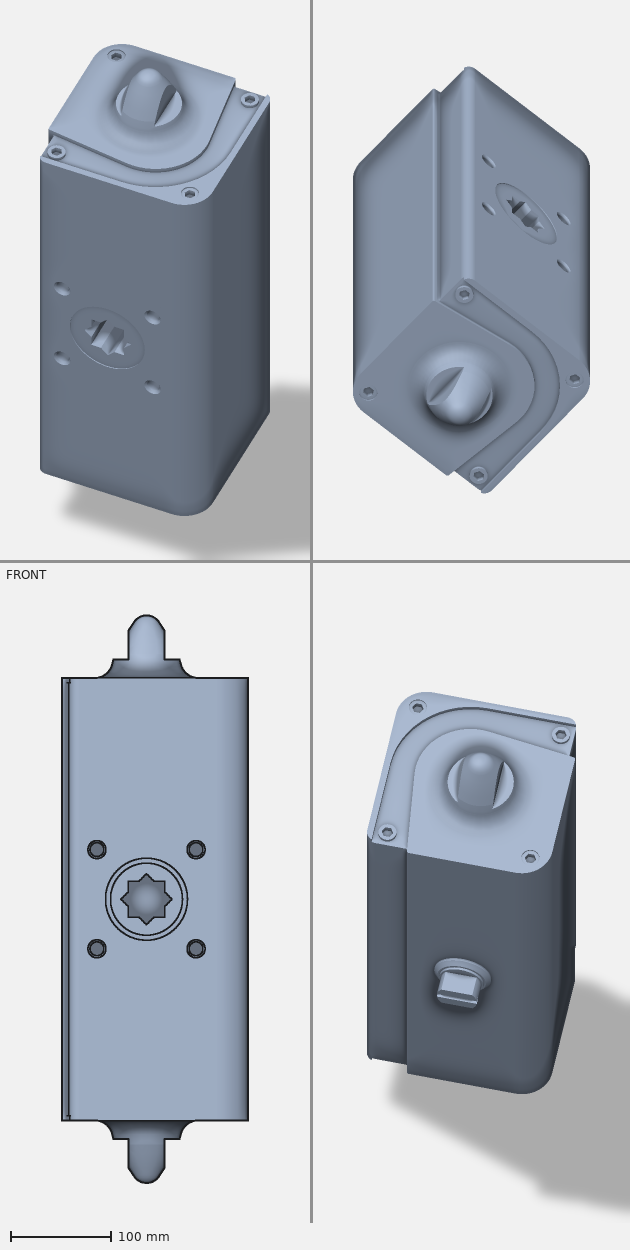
import cadquery as cq
import math

body_length = 442
half_length = body_length / 2
near_side = 84.5
far_side = 101.5
step_side = 77.5
large_corner = 31
small_corner = 10
step_round = 2
pick_margin = 0.2

wall_offset = 58.4
wall_angle = 7.2
pad_round = 56
rim_offset = 95
rim_round = 82
channel_depth = 5

cone_base_radius = 51.5
cone_fillet = 17.5
cone_fillet_height = 13.4
cone_start_height = 24
cone_half_angle = 30
flank_bulge = 0.6
tip_radius = 15
tip_height = 62.5
flat_distance = 18
flat_height = 18.5

screw_head_diameter = 18
screw_pitch = 146
screw_recess = 1.5
socket_across_flats = 10
socket_depth = 6

mount_pitch = 99
mount_hole_diameter = 13.84
mount_hole_depth = 25
mount_chamfer_diameter = 18
recess_diameter = 82
recess_depth = 1

flange_diameter = 72
flange_length = 30
shaft_diameter = 58
star_across_flats = 36
star_depth = 40
collar_rim = 2.5
collar_top_diameter = 49.5
shoulder_diameter = 45
shoulder_height = 9.2
stem_height = 30
stem_diameter = 41
stem_flats = 26
slot_width = 5
slot_depth = 5


def wall_x(y):
    """X of the sloping pad wall at a given y of the cross-section."""
    return wall_offset + (step_side - y) * math.tan(math.radians(wall_angle))


def mirrored(point):
    """Reflect a cross-section point about the diagonal y = -x."""
    return (-point[1], -point[0])


def round_corner(block, point, radius):
    """Fillet the vertical edge that passes through the given cross-section point."""
    x, y = point
    box = cq.selectors.BoxSelector(
        (x - pick_margin, y - pick_margin, -body_length),
        (x + pick_margin, y + pick_margin, body_length),
    )
    return block.edges("|Z").edges(box).fillet(radius)


def housing_block():
    step_outer = (wall_x(near_side), near_side)
    step_inner = (wall_x(step_side), step_side)
    near_corner = (-near_side, near_side)
    lip_corner = (far_side, step_side)
    far_corner = (far_side, -far_side)
    outline = [
        near_corner, step_outer, step_inner, lip_corner, far_corner,
        mirrored(lip_corner), mirrored(step_inner), mirrored(step_outer),
    ]
    block = cq.Workplane("XY").polyline(outline).close().extrude(half_length, both=True)
    block = round_corner(block, near_corner, large_corner)
    block = round_corner(block, far_corner, large_corner)
    rounds = ((lip_corner, small_corner), (step_outer, step_round), (step_inner, step_round))
    for corner, radius in rounds:
        block = round_corner(block, corner, radius)
        block = round_corner(block, mirrored(corner), radius)
    return block


def end_channel():
    """Channel between pad and rim on the top face, open at both ends."""
    beyond = 2 * far_side
    floor = half_length - channel_depth
    rim_corner = (rim_offset, -rim_offset)
    inside_rim = (
        cq.Workplane("XY").workplane(offset=floor)
        .polyline([(-beyond, beyond), (rim_offset, beyond), rim_corner, (-beyond, -rim_offset)])
        .close().extrude(2 * channel_depth)
    )
    inside_rim = round_corner(inside_rim, rim_corner, rim_round)

    vertex = wall_x(0) / (1 - math.tan(math.radians(wall_angle)))
    pad_corner = (vertex, -vertex)
    wall_end = (wall_x(beyond), beyond)
    pad = (
        cq.Workplane("XY").workplane(offset=floor)
        .polyline([(-beyond, beyond), wall_end, pad_corner, mirrored(wall_end)])
        .close().extrude(2 * channel_depth)
    )
    pad = round_corner(pad, pad_corner, pad_round)
    return inside_rim.cut(pad)


def end_cone():
    """Flared, round-tipped cone with two flats, standing on the top face."""
    slope = math.radians(cone_half_angle)
    tip_center = tip_height - tip_radius
    cap_radius = tip_radius * math.cos(slope)
    cap_height = tip_center + tip_radius * math.sin(slope)
    cone_start_radius = cap_radius + (cap_height - cone_start_height) * math.tan(slope)

    fillet_drop = cone_fillet - cone_fillet_height
    fillet_end_radius = cone_base_radius - math.sqrt(cone_fillet**2 - fillet_drop**2)
    half_turn = math.acos(fillet_drop / cone_fillet) / 2
    fillet_middle = (
        cone_base_radius - cone_fillet * math.sin(half_turn),
        cone_fillet - cone_fillet * math.cos(half_turn),
    )
    flank_middle = (
        (cone_start_radius + cap_radius) / 2 + flank_bulge * math.cos(slope),
        (cone_start_height + cap_height) / 2 + flank_bulge * math.sin(slope),
    )
    middle_angle = (math.pi / 2 + slope) / 2
    tip_middle = (
        tip_radius * math.cos(middle_angle),
        tip_center + tip_radius * math.sin(middle_angle),
    )
    cone = (
        cq.Workplane("XZ")
        .lineTo(cone_base_radius, 0)
        .threePointArc(fillet_middle, (fillet_end_radius, cone_fillet_height))
        .tangentArcPoint((cone_start_radius, cone_start_height), relative=False)
        .threePointArc(flank_middle, (cap_radius, cap_height))
        .threePointArc(tip_middle, (0, tip_height))
        .close()
        .revolve(360, (0, 0, 0), (0, 1, 0))
    )
    for side in (-1, 1):
        cutter = cq.Workplane("XY").box(
            cone_base_radius, 2 * cone_base_radius, tip_height, centered=(True, True, False)
        )
        cutter = cutter.translate((side * (flat_distance + cone_base_radius / 2), 0, flat_height))
        cone = cone.cut(cutter)
    return cone.translate((0, 0, half_length))


def add_end_screws(housing):
    """Socket-head screws in the four corners of the top face."""
    center = (far_side - near_side) / 2
    head_top = half_length - screw_recess
    corners = (
        cq.Workplane("XY").workplane(offset=head_top)
        .center(center, -center)
        .rect(screw_pitch, screw_pitch, forConstruction=True).vertices()
    )
    recesses = corners.circle(screw_head_diameter / 2).extrude(2 * screw_recess)
    heads = corners.circle(screw_head_diameter / 2).extrude(-2 * channel_depth)
    across_corners = socket_across_flats / math.cos(math.pi / 6)
    sockets = corners.polygon(6, across_corners).extrude(-socket_depth)
    return housing.cut(recesses).union(heads).cut(sockets)


def finish_top_end(housing):
    housing = housing.cut(end_channel())
    housing = housing.union(end_cone())
    return add_end_screws(housing)


def mounting_holes():
    """Four threaded holes with countersunk mouths in the front face."""
    sink = (mount_chamfer_diameter - mount_hole_diameter) / 2
    hole = (
        cq.Workplane("XY")
        .lineTo(mount_chamfer_diameter / 2, 0)
        .lineTo(mount_hole_diameter / 2, sink)
        .lineTo(mount_hole_diameter / 2, mount_hole_depth)
        .lineTo(0, mount_hole_depth)
        .close()
        .revolve(360, (0, 0, 0), (0, 1, 0))
    )
    holes = cq.Workplane("XY")
    for x in (-mount_pitch / 2, mount_pitch / 2):
        for z in (-mount_pitch / 2, mount_pitch / 2):
            holes = holes.add(hole.translate((x, -far_side, z)))
    return holes.combine()


def disc(diameter, start, end):
    """Cylinder on the Y axis from y = start to y = end."""
    return cq.Workplane("XZ", origin=(0, start, 0)).circle(diameter / 2).extrude(start - end)


flange_face = -far_side + recess_depth
flange_back = flange_face + flange_length


def make_housing():
    housing = finish_top_end(housing_block())
    housing = finish_top_end(housing.mirror("XY"))
    housing = housing.cut(mounting_holes())
    housing = housing.cut(disc(recess_diameter, -far_side, flange_face))
    housing = housing.cut(disc(flange_diameter, flange_face, flange_back))
    return housing.cut(disc(shaft_diameter, flange_back, near_side))


def star_socket():
    """Eight-pointed socket made of two squares turned by 45 degrees."""
    square = (
        cq.Workplane("XZ", origin=(0, flange_face, 0))
        .rect(star_across_flats, star_across_flats).extrude(-star_depth)
    )
    return square.union(square.rotate((0, 0, 0), (0, 1, 0), 45))


def make_shaft():
    collar_radius = shaft_diameter / 2
    collar_top_radius = collar_top_diameter / 2
    collar_start = near_side + collar_rim
    collar_top = collar_start + collar_radius - collar_top_radius
    shoulder_top = near_side + shoulder_height
    shaft = (
        cq.Workplane("XY")
        .moveTo(0, flange_face)
        .lineTo(flange_diameter / 2, flange_face)
        .lineTo(flange_diameter / 2, flange_back)
        .lineTo(collar_radius, flange_back)
        .lineTo(collar_radius, collar_start)
        .lineTo(collar_top_radius, collar_top)
        .lineTo(shoulder_diameter / 2, collar_top)
        .lineTo(shoulder_diameter / 2, shoulder_top)
        .lineTo(0, shoulder_top)
        .close()
        .revolve(360, (0, 0, 0), (0, 1, 0))
    )
    stem_end = near_side + stem_height
    stem = disc(stem_diameter, shoulder_top, stem_end)
    stem = stem.intersect(cq.Workplane("XY").box(stem_diameter, 2 * stem_end, stem_flats))
    slot = cq.Workplane("XY").box(stem_diameter, 2 * slot_depth, slot_width)
    stem = stem.cut(slot.translate((0, stem_end, 0)))
    return shaft.union(stem).cut(star_socket())


housing = make_housing()
shaft = make_shaft()
result = cq.Compound.makeCompound([housing.val(), shaft.val()])